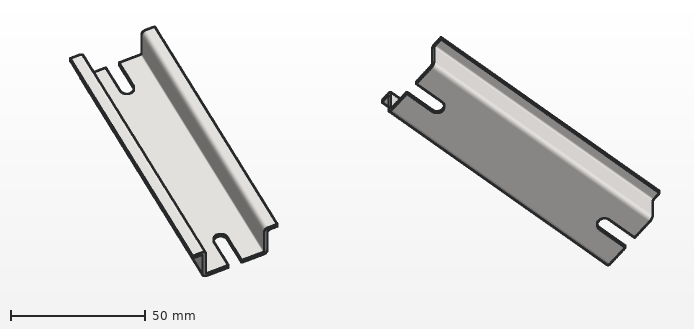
import cadquery as cq

length = 105.0
width = 35.0
height = 15.0

thickness = 1.5
channel_width = 27.0
base_inner_radius = 0.5
base_outer_radius = 2.0
flange_inner_radius = 0.8
flange_outer_radius = 1.8

slot_width = 5.5
slot_depth = 15.0


def make_rail():
    """Extrude the hat section along X, centred on the origin, base on Z = 0."""
    half_width = width / 2
    half_outer = channel_width / 2
    half_inner = half_outer - thickness
    flange_underside = height - thickness
    section = (
        cq.Workplane("YZ")
        .workplane(offset=-length / 2)
        .polyline([
            (-half_outer, 0),
            (half_outer, 0),
            (half_outer, flange_underside),
            (half_width, flange_underside),
            (half_width, height),
            (half_inner, height),
            (half_inner, thickness),
            (-half_inner, thickness),
            (-half_inner, height),
            (-half_width, height),
            (-half_width, flange_underside),
            (-half_outer, flange_underside),
        ])
        .close()
    )
    return section.extrude(length)


def bend_edges(rail, half_span, level):
    """Select the two lengthwise edges at Y = +/-half_span and Z = level."""
    margin = thickness / 4
    selected = None
    for side in (-1, 1):
        y = side * half_span
        box = cq.selectors.BoxSelector(
            (-length, y - margin, level - margin),
            (length, y + margin, level + margin),
        )
        selected = box if selected is None else selected + box
    return rail.edges("|X").edges(selected)


def round_bends(rail):
    """Round the inside and outside of all four bends."""
    half_outer = channel_width / 2
    half_inner = half_outer - thickness
    bends = [
        (half_outer, 0, base_outer_radius),
        (half_inner, thickness, base_inner_radius),
        (half_inner, height, flange_outer_radius),
        (half_outer, height - thickness, flange_inner_radius),
    ]
    for half_span, level, radius in bends:
        rail = bend_edges(rail, half_span, level).fillet(radius)
    return rail


def make_end_slot(end):
    """Cutter for a round-bottomed slot running in from one end (end = -1 or +1)."""
    return (
        cq.Workplane("XY")
        .center(end * length / 2, 0)
        .slot2D(2 * slot_depth, slot_width)
        .extrude(thickness)
    )


result = round_bends(make_rail())
for end in (-1, 1):
    result = result.cut(make_end_slot(end))